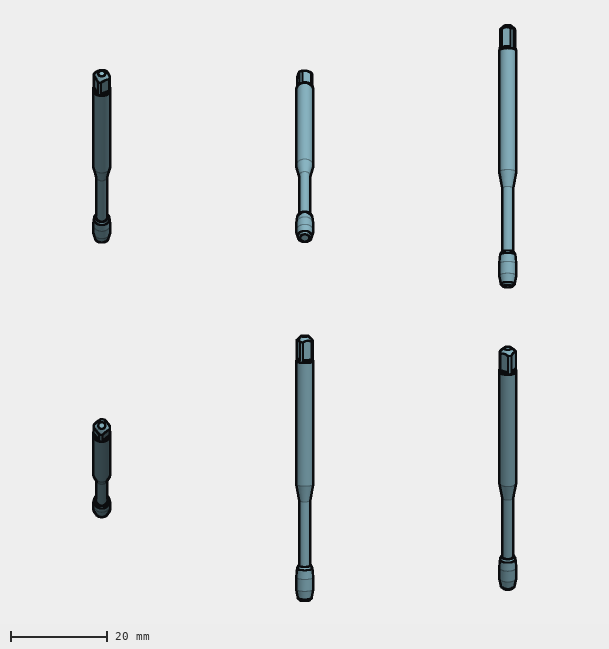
import cadquery as cq

total_length = 56.1
shank_radius = 3.6 / 2
neck_radius = 2.35 / 2

head_length = 7.35
tip_radius = 0.95
tip_chamfer_height = 0.5
lead_start_radius = 1.45
lead_height = 2.3
land_top = 4.8
back_taper_top = 6.75
back_taper_radius = 1.6
head_top_radius = 1.3

neck_top = 21.15
shank_bottom = 24.6
shank_top = 50.75

flat_count = 4
drive_across_flats = 2.85
drive_radius = 3.4 / 2
drive_top_radius = 0.75
drive_chamfer_height = 0.95
flat_bottom = 51.35
flat_runout_drop = 0.35
flat_depth = shank_radius - drive_across_flats / 2
drive_bottom = shank_top + shank_radius - drive_radius


def revolve_profile(outer_points):
    """Revolve (radius, height) points about Z, closing the outline on the axis."""
    bottom = outer_points[0][1]
    top = outer_points[-1][1]
    outline = [(0, bottom), *outer_points, (0, top)]
    return cq.Workplane("XZ").polyline(outline).close().revolve(360, (0, 0), (0, 1))


def make_head():
    """Barrel-shaped head with a tapered lead and a chamfered tip."""
    return revolve_profile([
        (tip_radius, 0),
        (lead_start_radius, tip_chamfer_height),
        (shank_radius, lead_height),
        (shank_radius, land_top),
        (back_taper_radius, back_taper_top),
        (head_top_radius, head_length),
    ])


def make_flat_cutter():
    """Material removed for the flat on +X: a vertical face that runs out on a sloping one."""
    flat_x = drive_across_flats / 2
    outer_x = flat_x + flat_depth
    return (
        cq.Workplane("XZ")
        .polyline([
            (flat_x, flat_bottom),
            (outer_x, flat_bottom - flat_runout_drop),
            (outer_x, total_length),
            (flat_x, total_length),
        ])
        .close()
        .extrude(shank_radius, both=True)
    )


def make_shank():
    """Slim neck, taper and cylindrical shank, with four flats that form the square drive."""
    shank = revolve_profile([
        (neck_radius, head_length),
        (neck_radius, neck_top),
        (shank_radius, shank_bottom),
        (shank_radius, shank_top),
        (drive_radius, drive_bottom),
        (drive_radius, total_length - drive_chamfer_height),
        (drive_top_radius, total_length),
    ])
    cutter = make_flat_cutter()
    for side in range(flat_count):
        shank = shank.cut(cutter.rotate((0, 0, 0), (0, 0, 1), side * 360 / flat_count))
    return shank


head = make_head()
shank = make_shank()

result = cq.Compound.makeCompound([head.val(), shank.val()])